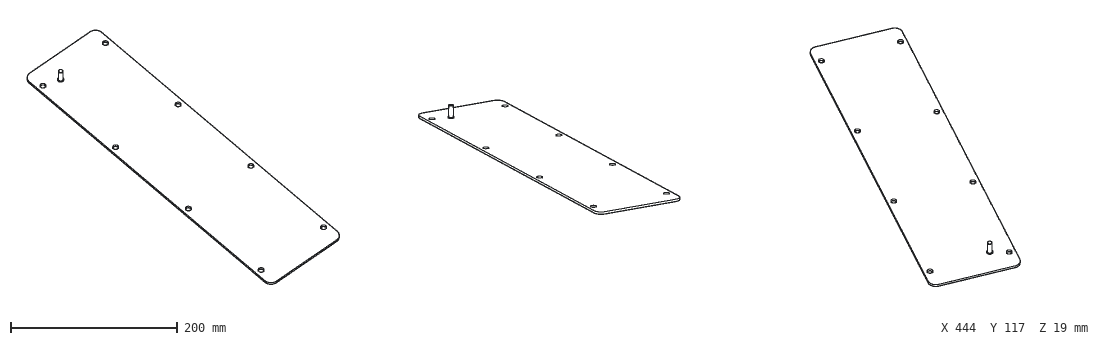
import cadquery as cq

length = 444.0
width = 117.0
thickness = 3.0
corner_radius = 9.8

hole_diameter = 7.0
hole_columns = 4
hole_rows = 2
hole_pitch = 131.0
row_spacing = 101.2

overall_height = 19.0
stud_diameter = 5.8
stud_chamfer = 0.5
stud_x = -189.0
stud_y = -28.5
flange_diameter = 7.5
flange_height = 1.0


def make_plate():
    """Flat plate with rounded corners and through holes."""
    blank = cq.Workplane("XY").rect(length, width).extrude(thickness).edges("|Z").fillet(corner_radius)
    return (
        blank.faces(">Z")
        .workplane()
        .rarray(hole_pitch, row_spacing, hole_columns, hole_rows)
        .hole(hole_diameter)
    )


def make_stud():
    """Round stud with a chamfered tip and a low flange, rooted at the bottom of the plate."""
    base = cq.Workplane("XY").center(stud_x, stud_y)
    shank = base.circle(stud_diameter / 2).extrude(overall_height).faces(">Z").chamfer(stud_chamfer)
    flange = base.circle(flange_diameter / 2).extrude(thickness + flange_height)
    return shank.union(flange)


result = make_plate().union(make_stud())